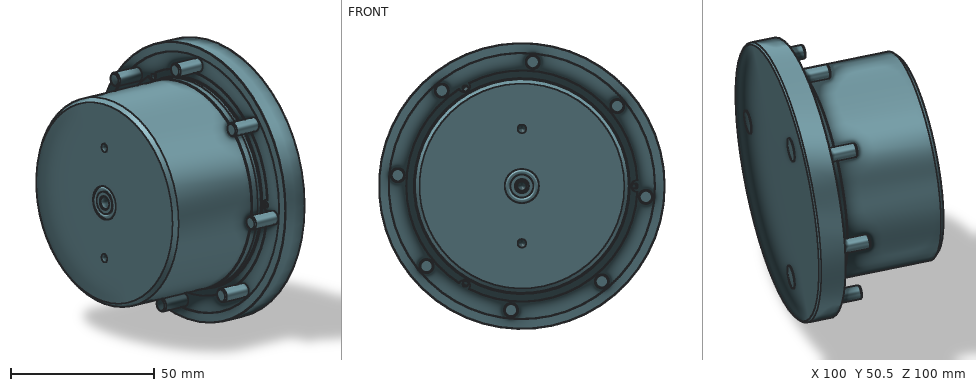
import cadquery as cq
import math


flange_radius = 50.0
flange_thickness = 9.7
flange_rear_chamfer = 0.7
flange_front_chamfer = 0.2
recess_radius = 46.4
recess_depth = 0.3
recess_chamfer = 0.2
inner_ring_radius = 40.5
inner_ring_chamfer = 0.2
bore_radius = 37.8

body_length = 40.2
body_radius = 37.3
body_chamfer = 1.5
collar_radius = 37.5
collar_rear = 1.8
collar_front = 4.3
collar_taper_length = 0.4

seal_radius = 0.95
seal_clearance = 0.05
seal_groove_radius = 36.6
face_seal_mid_radius = 5.0
face_seal_height = 0.3
face_groove_half_width = seal_radius + seal_clearance

screw_count = 8
screw_circle_radius = 43.5
screw_first_angle = -5.0
screw_radius = 2.5
screw_length = 10.5
screw_root = 1.0
screw_chamfer = 0.5
screw_tip_radius = 2.1

notch_count = 3
notch_radius = 2.0
notch_circle_radius = 40.2
notch_hole_radius = 1.0
notch_hole_circle_radius = 39.5
notch_hole_depth = 1.5
notch_hole_tilt = 20.0

drill_point_angle = 118.0
side_hole_radius = 1.5
side_hole_offset = 20.0
side_hole_depth = 5.0
port_mouth_radius = 2.5
port_thread_radius = 2.2
port_thread_depth = 6.0
port_core_radius = 1.6
port_core_depth = 8.0

pad_count = 3
pad_radius = 4.2
pad_circle_radius = 34.0
pad_height = 0.3


def revolve(profile):
    """Turn a closed (radius, y) outline about the Y axis."""
    return profile.close().revolve(360, (0, 0, 0), (0, 1, 0))


def polar(radius, angle):
    """X and Z of a point on a circle about the Y axis, angle in degrees."""
    turn = math.radians(angle)
    return radius * math.cos(turn), radius * math.sin(turn)


def cylinder(x, z, radius, y_start, y_end):
    """Cylinder parallel to Y between two Y positions."""
    disc = cq.Workplane("XZ", origin=(x, y_start, z)).circle(radius)
    return disc.extrude(y_start - y_end)


def drilled_hole(x, z, radius, y_mouth, depth):
    """Blind hole running towards +Y with a conical drill point."""
    point_length = radius / math.tan(math.radians(drill_point_angle / 2))
    outline = (
        cq.Workplane("XY")
        .lineTo(radius, 0)
        .lineTo(radius, depth)
        .lineTo(0, depth + point_length)
    )
    return revolve(outline).translate((x, y_mouth, z))


def main_body():
    """Flange, seal groove, collar, body and face seal as one turned outline."""
    seal_front_y = -collar_rear + seal_clearance
    seal_mid_y = seal_front_y + seal_radius
    seal_rear_y = seal_mid_y + seal_radius
    face_y = -body_length
    face_seal_y = face_y - face_seal_height + seal_radius
    groove_outer = face_seal_mid_radius + face_groove_half_width
    groove_inner = face_seal_mid_radius - face_groove_half_width
    outline = (
        cq.Workplane("XY")
        .moveTo(0, flange_thickness)
        .lineTo(flange_radius - flange_rear_chamfer, flange_thickness)
        .lineTo(flange_radius, flange_thickness - flange_rear_chamfer)
        .lineTo(flange_radius, flange_front_chamfer)
        .lineTo(flange_radius - flange_front_chamfer, 0)
        .lineTo(recess_radius + recess_chamfer, 0)
        .lineTo(recess_radius, recess_chamfer)
        .lineTo(recess_radius, recess_depth)
        .lineTo(inner_ring_radius, recess_depth)
        .lineTo(inner_ring_radius, inner_ring_chamfer)
        .lineTo(inner_ring_radius - inner_ring_chamfer, 0)
        .lineTo(bore_radius, 0)
        .lineTo(bore_radius, seal_rear_y)
        .lineTo(seal_groove_radius, seal_rear_y)
        .threePointArc(
            (seal_groove_radius + seal_radius, seal_mid_y),
            (seal_groove_radius, seal_front_y),
        )
        .lineTo(seal_groove_radius, -collar_rear)
        .lineTo(collar_radius, -collar_rear)
        .lineTo(collar_radius, -collar_front)
        .lineTo(body_radius, -collar_front - collar_taper_length)
        .lineTo(body_radius, face_y + body_chamfer)
        .lineTo(body_radius - body_chamfer, face_y)
        .lineTo(groove_outer, face_y)
        .lineTo(groove_outer, face_seal_y)
        .lineTo(face_seal_mid_radius + seal_radius, face_seal_y)
        .threePointArc(
            (face_seal_mid_radius, face_y - face_seal_height),
            (face_seal_mid_radius - seal_radius, face_seal_y),
        )
        .lineTo(groove_inner, face_seal_y)
        .lineTo(groove_inner, face_y)
        .lineTo(0, face_y)
    )
    return revolve(outline)


def screw_end(angle):
    """Chamfered screw end standing forward from the recessed annulus."""
    outline = (
        cq.Workplane("XY")
        .moveTo(0, screw_root)
        .lineTo(screw_radius, screw_root)
        .lineTo(screw_radius, -screw_length + screw_chamfer)
        .lineTo(screw_tip_radius, -screw_length)
        .lineTo(0, -screw_length)
    )
    x, z = polar(screw_circle_radius, angle)
    return revolve(outline).translate((x, 0, z))


def ring_notch(angle):
    """Cutter for one notch of the inner ring and its hole, which leans inwards with depth."""
    notch = cylinder(notch_circle_radius, 0, notch_radius, 0, recess_depth)
    mouth = (notch_hole_circle_radius, recess_depth, 0)
    hole = (
        cylinder(mouth[0], 0, notch_hole_radius, 0, recess_depth + notch_hole_depth)
        .rotate(mouth, (mouth[0], mouth[1], 1), notch_hole_tilt)
    )
    return notch.union(hole).rotate((0, 0, 0), (0, 1, 0), -angle)


def port():
    """Cutter for the threaded port at the centre of the front face."""
    countersink_depth = port_mouth_radius - port_thread_radius
    mouth = (
        cq.Workplane("XY")
        .lineTo(port_mouth_radius, 0)
        .lineTo(port_thread_radius, countersink_depth)
        .lineTo(port_thread_radius, port_thread_depth)
        .lineTo(0, port_thread_depth)
    )
    core = drilled_hole(0, 0, port_core_radius, -body_length, port_core_depth)
    return revolve(mouth).translate((0, -body_length, 0)).union(core)


result = main_body()

for i in range(notch_count):
    result = result.cut(ring_notch(i * 360 / notch_count))

for i in range(screw_count):
    result = result.union(screw_end(screw_first_angle + i * 360 / screw_count))

for i in range(pad_count):
    pad_x, pad_z = polar(pad_circle_radius, i * 360 / pad_count)
    pad_end = flange_thickness + pad_height
    result = result.union(cylinder(pad_x, pad_z, pad_radius, flange_thickness, pad_end))

for side in (-1, 1):
    hole_z = side * side_hole_offset
    result = result.cut(drilled_hole(0, hole_z, side_hole_radius, -body_length, side_hole_depth))

result = result.cut(port())